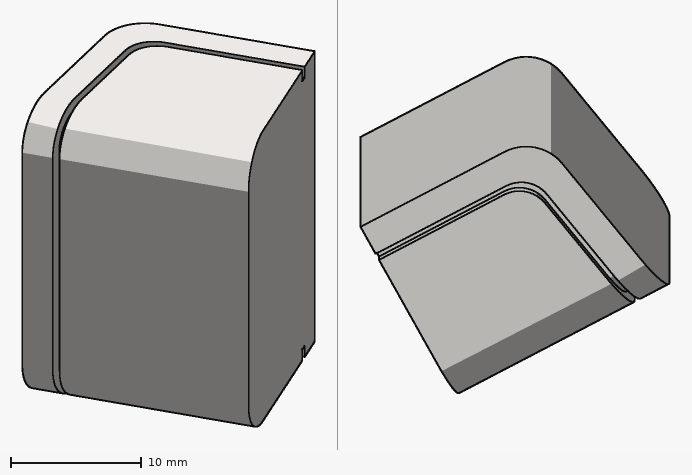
import cadquery as cq
import math

length = 18.33
depth = 16.0
height = 26.0

slope_angle = 10.0
corner_radius = 3.5
edge_radius = 3.48
wall = 2.45
groove_width = 0.55
groove_depth = 1.0
groove_radius = 2.5

slope = math.tan(math.radians(slope_angle))
slope_stretch = 1 / math.cos(math.radians(slope_angle))

def sloped_block(inset, radius):
    """Full-height block set in from the sloping side and the back, with a rounded upright corner."""
    front_x = inset * slope_stretch
    back_y = depth - inset
    return (
        cq.Workplane("XY")
        .moveTo(front_x, 0)
        .lineTo(length, 0)
        .lineTo(length, back_y)
        .lineTo(front_x + back_y * slope, back_y)
        .close()
        .extrude(height)
        .faces("<X")
        .edges("|Z and >Y")
        .fillet(radius)
    )

def rounded_bar(inset):
    """Bar along X with rounded front edges, set in from the front, top and bottom."""
    return (
        cq.Workplane("XY")
        .box(length, depth - inset, height - 2 * inset, centered=False)
        .translate((0, inset, inset))
        .edges("|X and <Y")
        .fillet(edge_radius - inset)
    )

body = sloped_block(0, corner_radius).intersect(rounded_bar(0))

groove_band = sloped_block(wall, groove_radius).cut(
    sloped_block(wall + groove_width, groove_radius)
)
groove = groove_band.cut(rounded_bar(groove_depth))

result = body.cut(groove)